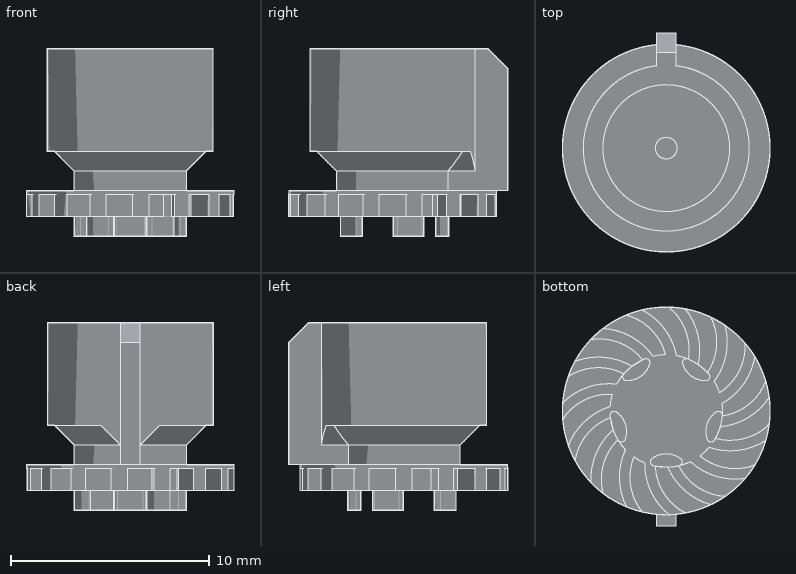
import cadquery as cq
import math

FOOT_HEIGHT = 1.0
BLADE_HEIGHT = 1.11
PLATE_THICKNESS = 0.2
NECK_HEIGHT = 1.0
CONE_HEIGHT = 1.0
TOTAL_HEIGHT = 9.47

PLATE_BOTTOM = FOOT_HEIGHT + BLADE_HEIGHT
PLATE_TOP = PLATE_BOTTOM + PLATE_THICKNESS
NECK_TOP = PLATE_TOP + NECK_HEIGHT
CONE_TOP = NECK_TOP + CONE_HEIGHT

PLATE_RADIUS = 10.5 / 2
CLEARANCE_RADIUS = PLATE_RADIUS + 2.21
NECK_RADIUS = 2.84
CONE_TOP_RADIUS = NECK_RADIUS + CONE_HEIGHT
CUP_RADIUS = 4.19
BORE_RADIUS = 6.4 / 2
BORE_DEPTH = 3.2
INLET_RADIUS = 1.1 / 2
INLET_DEPTH = 1.0

KEY_WIDTH = 1.0
KEY_REACH = 11.06 - PLATE_RADIUS
KEY_CHAMFER = 1.0

BLADE_COUNT = 15
BLADE_PITCH = 360 / BLADE_COUNT
BLADE_ARC_OFFSET = 3.48
BLADE_INNER_ARC = 2.8
BLADE_OUTER_ARC = 3.33
FIRST_ARC_ANGLE = 1.9

FOOT_COUNT = 5
FOOT_PITCH = 360 / FOOT_COUNT
FOOT_INNER_REACH = 2.17
FOOT_BULGE_RADIUS = 1.2
FOOT_CORNER_FILLET = 0.2


def cylinder(radius, bottom, top):
    return cq.Workplane("XY").workplane(offset=bottom).circle(radius).extrude(top - bottom)


def polar(radius, angle):
    return radius * math.cos(math.radians(angle)), radius * math.sin(math.radians(angle))


def make_body():
    """Cup, neck and plate as one turned profile, before any undercuts."""
    profile = [
        (0, FOOT_HEIGHT),
        (PLATE_RADIUS, FOOT_HEIGHT),
        (PLATE_RADIUS, PLATE_TOP),
        (NECK_RADIUS, PLATE_TOP),
        (NECK_RADIUS, NECK_TOP),
        (CUP_RADIUS, NECK_TOP),
        (CUP_RADIUS, TOTAL_HEIGHT),
        (0, TOTAL_HEIGHT),
    ]
    return cq.Workplane("XZ").polyline(profile).close().revolve(360, (0, 0, 0), (0, 1, 0))


def make_key():
    """Upright rib from the axis out past the plate, chamfered at its top outer edge."""
    profile = [
        (0, PLATE_TOP),
        (KEY_REACH, PLATE_TOP),
        (KEY_REACH, TOTAL_HEIGHT - KEY_CHAMFER),
        (KEY_REACH - KEY_CHAMFER, TOTAL_HEIGHT),
        (0, TOTAL_HEIGHT),
    ]
    return cq.Workplane("YZ").polyline(profile).close().extrude(KEY_WIDTH / 2, both=True)


def make_gusset():
    """Wedge around the key that widens upward at 45 degrees to the top of the cone."""
    bottom_half = KEY_WIDTH / 2
    top_half = bottom_half + CONE_HEIGHT
    profile = [
        (-bottom_half, NECK_TOP),
        (bottom_half, NECK_TOP),
        (top_half, CONE_TOP),
        (-top_half, CONE_TOP),
    ]
    return cq.Workplane("XZ").polyline(profile).close().extrude(-PLATE_RADIUS)


def make_cone_undercut():
    """Ring removed below the cup to leave the cone, with the gusset left standing."""
    profile = [
        (NECK_RADIUS, NECK_TOP),
        (PLATE_RADIUS, NECK_TOP),
        (PLATE_RADIUS, CONE_TOP),
        (CONE_TOP_RADIUS, CONE_TOP),
    ]
    ring = cq.Workplane("XZ").polyline(profile).close().revolve(360, (0, 0, 0), (0, 1, 0))
    return ring.cut(make_gusset())


def make_blade_gaps():
    """Ring around the hub, less the curved walls that stay as blades."""
    gaps = cylinder(CLEARANCE_RADIUS, FOOT_HEIGHT, PLATE_BOTTOM)
    gaps = gaps.cut(cylinder(NECK_RADIUS, FOOT_HEIGHT, PLATE_BOTTOM))
    arc_center = polar(BLADE_ARC_OFFSET, FIRST_ARC_ANGLE)
    curved_wall = (
        cq.Workplane("XY", origin=(*arc_center, FOOT_HEIGHT))
        .circle(BLADE_OUTER_ARC)
        .circle(BLADE_INNER_ARC)
        .extrude(BLADE_HEIGHT)
    )
    blade_side = (
        cq.Workplane("XY", origin=(0, 0, FOOT_HEIGHT))
        .rect(2 * CLEARANCE_RADIUS, CLEARANCE_RADIUS)
        .extrude(BLADE_HEIGHT)
        .translate((0, CLEARANCE_RADIUS / 2, 0))
        .rotate((0, 0, 0), (0, 0, 1), FIRST_ARC_ANGLE)
    )
    blade = curved_wall.intersect(blade_side)
    for i in range(BLADE_COUNT):
        gaps = gaps.cut(blade.rotate((0, 0, 0), (0, 0, 1), i * BLADE_PITCH))
    return gaps


def make_feet():
    """Lens-shaped feet with rounded corners, evenly spaced from the +Y side."""
    bulge = cq.Workplane("XY", origin=(0, FOOT_INNER_REACH + FOOT_BULGE_RADIUS, 0))
    foot = (
        bulge.circle(FOOT_BULGE_RADIUS)
        .extrude(FOOT_HEIGHT)
        .intersect(cylinder(NECK_RADIUS, 0, FOOT_HEIGHT))
        .edges("|Z")
        .fillet(FOOT_CORNER_FILLET)
    )
    return [foot.rotate((0, 0, 0), (0, 0, 1), i * FOOT_PITCH) for i in range(FOOT_COUNT)]


body = make_body().cut(make_cone_undercut()).union(make_key())

bore_floor = TOTAL_HEIGHT - BORE_DEPTH
body = body.cut(cylinder(BORE_RADIUS, bore_floor, TOTAL_HEIGHT))
body = body.cut(cylinder(INLET_RADIUS, bore_floor - INLET_DEPTH, bore_floor))

for foot in make_feet():
    body = body.union(foot)
result = body.cut(make_blade_gaps())